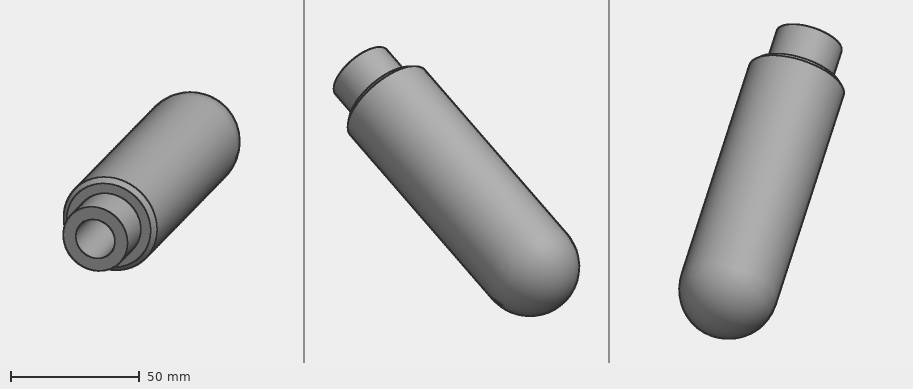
import cadquery as cq

overall_length = 130.5
body_diameter = 38.5
neck_diameter = 26.5
neck_length = 15.5
shoulder_chamfer = 2.0
bore_diameter = 16.0

neck_end_y = -overall_length / 2
shoulder_y = neck_end_y + neck_length
dome_tip_y = overall_length / 2
dome_center_y = dome_tip_y - body_diameter / 2


def round_ended_rod(diameter, start_y, center_y):
    """Rod along +Y from start_y, closed by a hemisphere centred at center_y."""
    radius = diameter / 2
    rod = cq.Workplane("XZ", origin=(0, start_y, 0)).circle(radius).extrude(start_y - center_y)
    end_ball = cq.Workplane("XY").sphere(radius).translate((0, center_y, 0))
    return rod.union(end_ball)


body = round_ended_rod(body_diameter, shoulder_y, dome_center_y)
body = body.faces("<Y").edges().chamfer(shoulder_chamfer)

neck = cq.Workplane("XZ", origin=(0, shoulder_y, 0)).circle(neck_diameter / 2).extrude(neck_length)

bore = round_ended_rod(bore_diameter, neck_end_y, dome_center_y)

result = body.union(neck).cut(bore)